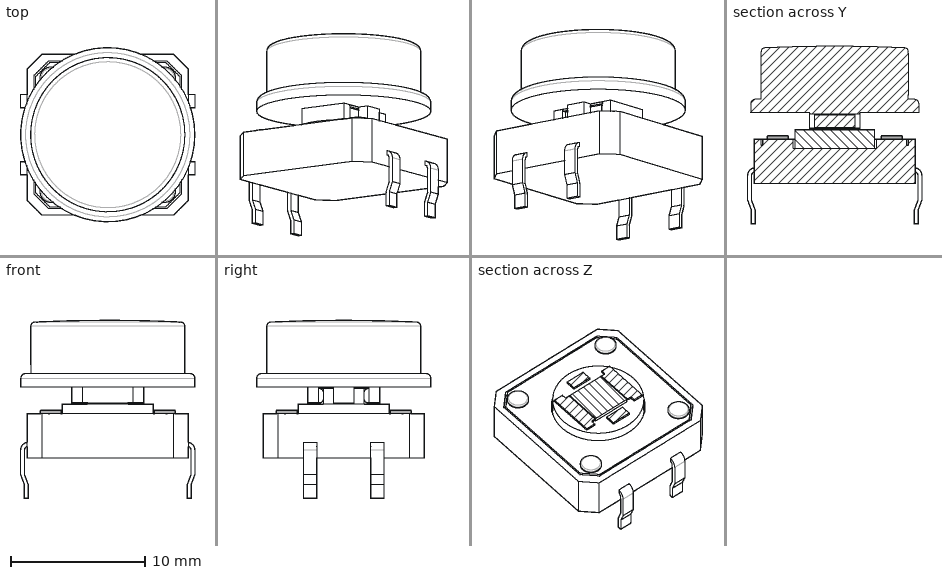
import cadquery as cq
import math

BASE_WIDTH = 12.0
BASE_CHAMFER = 1.09
BASE_BOTTOM = 3.0
BASE_TOP = 6.31
GROOVE_OUTER_WIDTH = 10.97
GROOVE_CHAMFER = 1.05
GROOVE_GAP = 0.1
GROOVE_DEPTH = 0.44
RIVET_DIAMETER = 1.6
RIVET_HEIGHT = 0.27
RIVET_ROUNDING = 0.09
RIVET_OFFSET = 4.25
WELL_DIAMETER = 7.0
WELL_DEPTH = 0.69

PIN_SPAN = 13.01
PIN_WIDTH = 1.0
PIN_THICKNESS = 0.3
PIN_PITCH = 5.0
PIN_BEND_RADIUS = 0.6
PIN_BEND_CENTER_Z = 3.59
PIN_STEP_TOP = 1.77
PIN_STEP_BOTTOM = 1.02
PIN_STEP = 0.28

DISC_DIAMETER = 6.8
DISC_TOP = 7.01
STEM_WIDTH = 3.05

FLANGE_DIAMETER = 13.0
FLANGE_BOTTOM = 8.29
FLANGE_TOP = 9.31
FLANGE_FILLET = 0.37
BUTTON_DIAMETER = 11.5
BUTTON_EDGE_Z = 13.13
BUTTON_FILLET = 0.32
CAP_TOP = 13.28
CLIP_BOTTOM = 7.12
CLIP_OUTER = 2.7
CLIP_INNER = 1.9
POST_WIDTH = 1.55
PAD_HEIGHT = 0.12
PAD_CHAMFER = 0.1
RIB_FILLET = 0.25

STEM_TOP = FLANGE_BOTTOM - PAD_HEIGHT


def octagon(width, chamfer, bottom, height):
    """Square block with chamfered vertical edges."""
    block = cq.Workplane("XY").workplane(offset=bottom).rect(width, width).extrude(height)
    return block.edges("|Z").chamfer(chamfer)


def groove():
    """Narrow gap between the base frame and its inlaid plate."""
    bottom = BASE_TOP - GROOVE_DEPTH
    inner_width = GROOVE_OUTER_WIDTH - 2 * GROOVE_GAP
    outer = octagon(GROOVE_OUTER_WIDTH, GROOVE_CHAMFER, bottom, GROOVE_DEPTH)
    return outer.cut(octagon(inner_width, GROOVE_CHAMFER, bottom, GROOVE_DEPTH))


def rivets():
    """Four round rivet heads near the corners of the inlaid plate."""
    heads = (
        cq.Workplane("XY").workplane(offset=BASE_TOP)
        .rect(2 * RIVET_OFFSET, 2 * RIVET_OFFSET, forConstruction=True).vertices()
        .circle(RIVET_DIAMETER / 2).extrude(RIVET_HEIGHT)
    )
    return heads.faces("<Z or >Z").edges().fillet(RIVET_ROUNDING)


def pin():
    """One bent pin on the +X wall, centred on Y = 0."""
    wall = BASE_WIDTH / 2
    outer = PIN_SPAN / 2
    inner = outer - PIN_THICKNESS
    bend_x = outer - PIN_BEND_RADIUS
    inner_radius = PIN_BEND_RADIUS - PIN_THICKNESS
    diagonal = math.sqrt(0.5)

    def on_bend(radius, x):
        return (x, PIN_BEND_CENTER_Z + math.sqrt(radius**2 - (x - bend_x) ** 2))

    outer_start = on_bend(PIN_BEND_RADIUS, wall)
    outer_middle = on_bend(PIN_BEND_RADIUS, bend_x + PIN_BEND_RADIUS * diagonal)
    inner_middle = on_bend(inner_radius, bend_x + inner_radius * diagonal)
    inner_end = on_bend(inner_radius, wall)

    profile = (
        cq.Workplane("XZ").moveTo(*outer_start)
        .threePointArc(outer_middle, (outer, PIN_BEND_CENTER_Z))
        .lineTo(outer, PIN_STEP_TOP)
        .lineTo(outer - PIN_STEP, PIN_STEP_BOTTOM)
        .lineTo(outer - PIN_STEP, 0)
        .lineTo(inner - PIN_STEP, 0)
        .lineTo(inner - PIN_STEP, PIN_STEP_BOTTOM)
        .lineTo(inner, PIN_STEP_TOP)
        .lineTo(inner, PIN_BEND_CENTER_Z)
        .threePointArc(inner_middle, inner_end)
        .close()
    )
    return profile.extrude(PIN_WIDTH / 2, both=True)


def make_base():
    base = octagon(BASE_WIDTH, BASE_CHAMFER, BASE_BOTTOM, BASE_TOP - BASE_BOTTOM)
    well = (
        cq.Workplane("XY").workplane(offset=BASE_TOP - WELL_DEPTH)
        .circle(WELL_DIAMETER / 2).extrude(WELL_DEPTH)
    )
    base = base.cut(groove()).cut(well).union(rivets())
    for angle in (0, 180):
        for y in (-PIN_PITCH / 2, PIN_PITCH / 2):
            base = base.union(pin().translate((0, y, 0)).rotate((0, 0, 0), (0, 0, 1), angle))
    return base


def make_actuator():
    disc_bottom = BASE_TOP - WELL_DEPTH
    disc = (
        cq.Workplane("XY").workplane(offset=disc_bottom)
        .circle(DISC_DIAMETER / 2).extrude(DISC_TOP - disc_bottom)
    )
    return disc.faces(">Z").workplane().rect(STEM_WIDTH, STEM_WIDTH).extrude(STEM_TOP - DISC_TOP)


def button():
    """Domed button with its flange, turned about Z."""
    radius = BUTTON_DIAMETER / 2
    dome_rise = CAP_TOP - BUTTON_EDGE_Z
    dome_radius = (radius**2 + dome_rise**2) / (2 * dome_rise)
    mid_x = radius / 2
    mid_z = CAP_TOP - dome_radius + math.sqrt(dome_radius**2 - mid_x**2)
    flange = (
        cq.Workplane("XY").workplane(offset=FLANGE_BOTTOM)
        .circle(FLANGE_DIAMETER / 2).extrude(FLANGE_TOP - FLANGE_BOTTOM)
        .faces(">Z").edges().fillet(FLANGE_FILLET)
    )
    dome = (
        cq.Workplane("XZ").moveTo(0, FLANGE_BOTTOM).lineTo(radius, FLANGE_BOTTOM)
        .lineTo(radius, BUTTON_EDGE_Z)
        .threePointArc((mid_x, mid_z), (0, CAP_TOP))
        .close().revolve(360, (0, 0, 0), (0, 1, 0))
    )
    rim = dome.faces(">Z").edges("%CIRCLE and <Z")
    return flange.union(rim.fillet(BUTTON_FILLET))


def grip_ribs():
    """Two ribs along X that fill the space between the clip plates and the ±Y sides of the stem."""
    depth = CLIP_INNER - STEM_WIDTH / 2
    middle = CLIP_INNER - depth / 2
    height = STEM_TOP - CLIP_BOTTOM
    rib = cq.Workplane("XY").workplane(offset=CLIP_BOTTOM).rect(STEM_WIDTH, depth).extrude(height)
    rib = rib.faces(">Y").edges("|X").fillet(RIB_FILLET).translate((0, -middle, 0))
    return rib.union(rib.mirror("XZ"))


def clip():
    """Two plates facing ±Y with grip ribs, two posts facing ±X, and a pad that rests on the stem."""
    gap = 2 * CLIP_INNER
    wall = CLIP_OUTER - CLIP_INNER
    height = FLANGE_BOTTOM - CLIP_BOTTOM
    middle = (CLIP_OUTER + CLIP_INNER) / 2
    under_flange = cq.Workplane("XY").workplane(offset=CLIP_BOTTOM)
    plates = under_flange.pushPoints([(0, -middle), (0, middle)]).rect(gap, wall).extrude(height)
    posts = under_flange.pushPoints([(-middle, 0), (middle, 0)]).rect(wall, POST_WIDTH).extrude(height)
    pad = (
        cq.Workplane("XY").workplane(offset=STEM_TOP).rect(gap, gap).extrude(PAD_HEIGHT)
        .faces("<Z").edges("|Y").chamfer(PAD_CHAMFER)
    )
    return plates.union(grip_ribs()).union(posts).union(pad)


def make_cap():
    return button().union(clip())


base = make_base()
actuator = make_actuator()
cap = make_cap()

result = cq.Compound.makeCompound([base.solids().val(), actuator.solids().val(), cap.solids().val()])